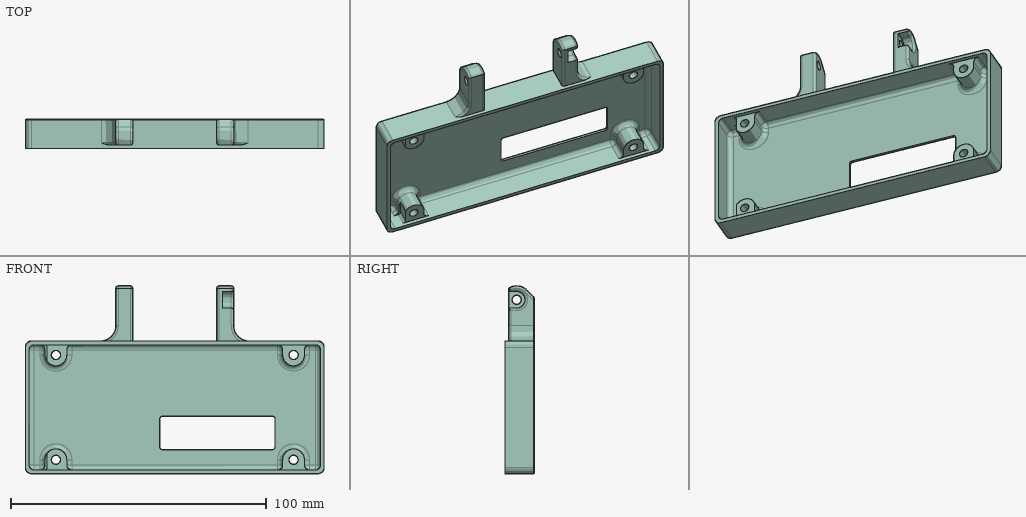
import cadquery as cq
import math

tray_width = 117.0
tray_height = 52.0
tray_depth = 11.6
tray_corner_radius = 2.5
wall = 1.5
floor_thickness = 1.0
inner_fillet = 2.0
back_edge_chamfer = 0.4

boss_radius = 4.25
boss_spacing_x = 93.0
boss_spacing_z = 41.0
boss_recess = 1.5
boss_flat_offset = 3.5
boss_flat_length = 5.0
boss_flat_fillet = 1.0
screw_hole_diameter = 3.5

window_width = 45.0
window_height = 13.0
window_center_x = 16.7
window_center_z = 16.0
window_corner_radius = 1.0

lug_inner_x = 16.4
lug_width = 6.7
lug_depth = 10.2
lug_height = 21.6
lug_tip_radius = 5.5
lug_root_radius = 6.0
lug_root_sink = 0.01
lug_edge_fillet = 1.0
pin_hole_diameter = 3.5
pin_y = -7.0

nut_slot_width = 6.5
nut_slot_depth = 4.4

tolerance = 0.01
tray_center_z = tray_height / 2
inside_half_height = tray_height / 2 - wall
lug_outer_x = lug_inner_x + lug_width
lug_base_z = tray_height - wall / 2
pin_z = tray_height + lug_height - lug_tip_radius
boss_x = boss_spacing_x / 2
boss_z = boss_spacing_z / 2


def front_plane(y):
    """Sketch plane centred on the tray at depth y; extrusion runs toward -Y."""
    return cq.Workplane("XZ", origin=(0, y, tray_center_z))


def side_plane(x):
    """Sketch plane centred on the hinge pin axis; extrusion runs toward +X."""
    return cq.Workplane("YZ", origin=(x, pin_y, pin_z))


def boss_centers():
    return [(x, z) for x in (-boss_x, boss_x) for z in (-boss_z, boss_z)]


def make_shell():
    shell = front_plane(0).rect(tray_width, tray_height).extrude(tray_depth)
    shell = shell.edges("|Y").fillet(tray_corner_radius)
    return shell.faces(">Y").edges().chamfer(back_edge_chamfer)


def cavity_block(start_y):
    block = front_plane(start_y).rect(tray_width - 2 * wall, tray_height - 2 * wall)
    return block.extrude(tray_depth)


def make_cavity():
    """Space inside the tray, leaving the four bosses standing."""
    cavity = cavity_block(-floor_thickness)
    reach = tray_height / 2 - boss_z
    for x, z in boss_centers():
        center = front_plane(-floor_thickness).center(x, z)
        cavity = cavity.cut(center.circle(boss_radius).extrude(tray_depth))
        web = center.center(0, math.copysign(reach / 2, z)).rect(2 * boss_radius, reach)
        cavity = cavity.cut(web.extrude(tray_depth))

    def is_rounded(edge):
        box = edge.BoundingBox()
        on_floor = box.ymin > -floor_thickness - tolerance
        on_long_wall = abs(edge.Center().z - tray_center_z) > inside_half_height - tolerance
        return on_floor or (on_long_wall and box.xlen < tolerance)

    rounded = [edge for edge in cavity.edges().vals() if is_rounded(edge)]
    cavity = cavity.newObject(rounded).fillet(inner_fillet)
    rim_space = cavity_block(boss_recess - tray_depth).edges("|Y").fillet(inner_fillet)
    return cavity.union(rim_space).union(make_flat_relief())


def make_flat_relief():
    """Space beside the two -X bosses that cuts a flat on their outer sides."""
    flat_x = -boss_x - boss_flat_offset
    wall_x = wall - tray_width / 2
    relief = front_plane(boss_recess + boss_flat_length - tray_depth).center((flat_x + wall_x) / 2, 0)
    relief = relief.rect(flat_x - wall_x, 2 * inside_half_height).extrude(tray_depth)
    relief = relief.edges("|Y and <X").fillet(inner_fillet)
    return relief.edges("|Y and >X").fillet(boss_flat_fillet)


def chamfer_back(body):
    """Chamfer the back edges of a lug piece, except those hidden in the tray wall."""
    edges = body.faces(">Y").edges().vals()
    visible = [edge for edge in edges if edge.BoundingBox().zmax > tray_height]
    return body.newObject(visible).chamfer(back_edge_chamfer)


def make_lug_upright():
    """Upright of the +X lug: a round tip about the pin axis and a 45 degree slope behind it."""
    diagonal = lug_tip_radius * math.sqrt(0.5)
    front_z = pin_z + math.sqrt(lug_tip_radius ** 2 - (lug_depth + pin_y) ** 2)
    slope_end_z = pin_z + 2 * diagonal + pin_y
    upright = (
        cq.Workplane("YZ", origin=(lug_inner_x, 0, 0))
        .moveTo(0, lug_base_z)
        .lineTo(0, slope_end_z)
        .lineTo(pin_y + diagonal, pin_z + diagonal)
        .threePointArc((pin_y, pin_z + lug_tip_radius), (-lug_depth, front_z))
        .lineTo(-lug_depth, lug_base_z)
        .close()
        .extrude(lug_width)
    )
    tip_edges = [edge for edge in upright.edges("#X").vals() if edge.Center().z > slope_end_z]
    front_edges = upright.edges("|Z and <Y").vals()
    return chamfer_back(upright.newObject(tip_edges + front_edges).fillet(lug_edge_fillet))


def make_lug_root():
    """Concave root that spreads the +X lug outward onto the tray."""
    inside_x = lug_inner_x + lug_width / 2
    root_end_x = lug_outer_x + lug_root_radius
    foot_z = tray_height - lug_root_sink
    top_z = foot_z + lug_root_radius
    arc_step = lug_root_radius * (1 - math.sqrt(0.5))
    root = (
        cq.Workplane("XZ")
        .moveTo(inside_x, lug_base_z)
        .lineTo(inside_x, top_z)
        .lineTo(lug_outer_x, top_z)
        .threePointArc((lug_outer_x + arc_step, foot_z + arc_step), (root_end_x, foot_z))
        .lineTo(root_end_x, lug_base_z)
        .close()
        .extrude(lug_depth)
    )
    arcs = root.edges("%CIRCLE")
    front = arcs.edges("<Y").fillet(lug_edge_fillet)
    back = front.faces(">Y").edges("%CIRCLE")
    return back.chamfer(back_edge_chamfer)


def make_nut_slot():
    """Cutter for the nut slot; its mouth flares to round the slot edge on the lug side."""
    slot_start = side_plane(lug_outer_x - nut_slot_depth)
    slot = slot_start.circle(nut_slot_width / 2).extrude(nut_slot_depth)
    front_part = slot_start.center(-lug_depth / 2, 0).rect(lug_depth, nut_slot_width)
    slot = slot.union(front_part.extrude(nut_slot_depth)).clean()
    mouth = side_plane(lug_outer_x).rect(4 * lug_depth, 2 * nut_slot_width).extrude(lug_width)
    cutter = slot.union(mouth)

    def is_mouth_edge(edge):
        box = edge.BoundingBox()
        at_side = box.xlen < tolerance and abs(edge.Center().x - lug_outer_x) < tolerance
        inside_width = (
            box.zmin > pin_z - nut_slot_width / 2 - tolerance
            and box.zmax < pin_z + nut_slot_width / 2 + tolerance
        )
        return at_side and inside_width and box.ymin > pin_y - lug_depth - tolerance and box.ylen > tolerance

    rounded = [edge for edge in cutter.edges().vals() if is_mouth_edge(edge)]
    return cutter.newObject(rounded).fillet(lug_edge_fillet)


def make_pin_holes():
    return side_plane(-lug_outer_x).circle(pin_hole_diameter / 2).extrude(2 * lug_outer_x)


def make_window():
    window = front_plane(0).center(window_center_x, window_center_z - tray_center_z)
    window = window.rect(window_width, window_height).extrude(floor_thickness)
    return window.edges("|Y").fillet(window_corner_radius)


def make_screw_holes():
    return front_plane(0).pushPoints(boss_centers()).circle(screw_hole_diameter / 2).extrude(tray_depth)


lug = make_lug_upright().union(make_lug_root())
nut_lug = lug.cut(make_nut_slot())
body = make_shell().union(nut_lug).union(lug.mirror("YZ"))
result = body.cut(make_cavity()).cut(make_window()).cut(make_screw_holes()).cut(make_pin_holes())